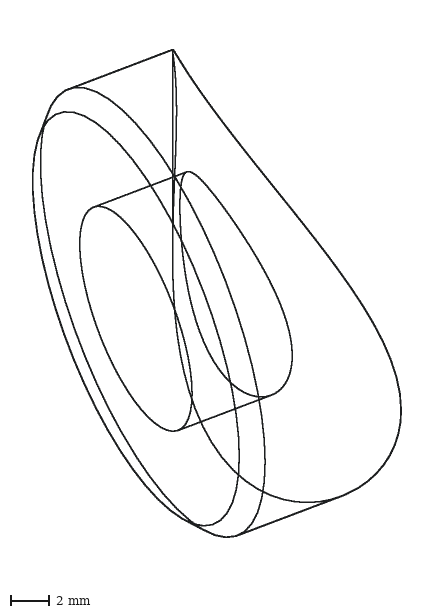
import cadquery as cq
import math

outer_diameter = 25.0
hole_diameter = outer_diameter / 2
center_thickness = 5.0
chamfer_size = 1.0
tube_radius = 21.2

outer_radius = outer_diameter / 2
saddle_rise = tube_radius - math.sqrt(tube_radius**2 - outer_radius**2)
rim_thickness = center_thickness + saddle_rise


def make_disc():
    """Disc along Y with its flat face on Y = 0, chamfered around that face."""
    disc = cq.Workplane("XZ").circle(outer_radius).extrude(-rim_thickness)
    return disc.faces("<Y").edges().chamfer(chamfer_size)


def make_tube_envelope():
    """Solid cylinder along Z whose surface touches the saddle at its thinnest line."""
    return (
        cq.Workplane("XY")
        .center(0, center_thickness + tube_radius)
        .circle(tube_radius)
        .extrude(outer_radius, both=True)
    )


def make_hole():
    """Cylinder along Y that clears the full thickness."""
    return cq.Workplane("XZ").circle(hole_diameter / 2).extrude(-rim_thickness)


result = make_disc().cut(make_tube_envelope()).cut(make_hole())